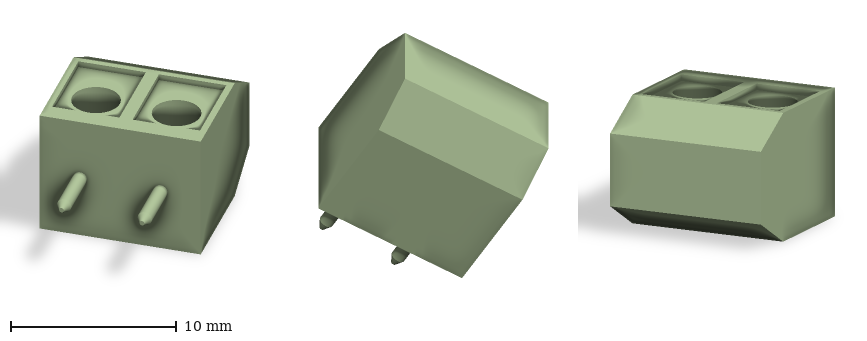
import cadquery as cq

pole_count = 2
pole_pitch = 5.08
overall_length = 13.8
body_length = 10.0
body_height = 8.0
body_width = pole_count * pole_pitch

slope_length = 3.02
slope_height = 1.74

recess_width = 4.25
recess_length = 5.42
recess_front_wall = 1.2
recess_depth = 0.4
screw_hole_diameter = 3.0
screw_hole_front_distance = 3.31
screw_hole_depth = body_height / 2

pin_length = overall_length - body_length
pin_diameter = 0.9
pin_end_diameter = 0.3
pin_tip_length = 0.55

pole_positions = [(pole - (pole_count - 1) / 2) * pole_pitch for pole in range(pole_count)]


def make_body():
    """Extruded side profile; front face at Y = 0, centred on X and Z."""
    half_height = body_height / 2
    back_half_height = half_height - slope_height
    slope_start = body_length - slope_length
    return (
        cq.Workplane("YZ")
        .moveTo(0, -half_height)
        .lineTo(slope_start, -half_height)
        .lineTo(body_length, -back_half_height)
        .lineTo(body_length, back_half_height)
        .lineTo(slope_start, half_height)
        .lineTo(0, half_height)
        .close()
        .extrude(body_width / 2, both=True)
    )


def make_screw_opening(x):
    """Rectangular recess in the top face with a round blind hole in its floor."""
    top = body_height / 2
    recess = (
        cq.Workplane("XY", origin=(x, recess_front_wall + recess_length / 2, top))
        .rect(recess_width, recess_length)
        .extrude(-recess_depth)
    )
    hole = (
        cq.Workplane("XY", origin=(x, screw_hole_front_distance, top))
        .circle(screw_hole_diameter / 2)
        .extrude(-screw_hole_depth)
    )
    return recess.union(hole)


def make_pin(x):
    """Round pin out of the front face, revolved with its tapered tip."""
    pin_radius = pin_diameter / 2
    return (
        cq.Workplane("XY", origin=(x, 0, 0))
        .lineTo(pin_radius, 0)
        .lineTo(pin_radius, pin_tip_length - pin_length)
        .lineTo(pin_end_diameter / 2, -pin_length)
        .lineTo(0, -pin_length)
        .close()
        .revolve(360, (0, 0, 0), (0, 1, 0))
    )


result = make_body()
for pole_x in pole_positions:
    result = result.cut(make_screw_opening(pole_x))
    result = result.union(make_pin(pole_x))